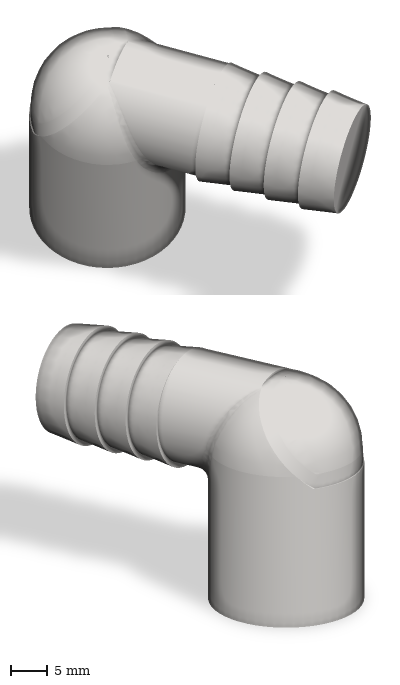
import cadquery as cq
import math

socket_diameter = 21.6
socket_radius = socket_diameter / 2
overall_height = 33.5
overall_length = 46.6

ball_center_z = 22.5

tube_diameter = 16.2
tube_axis_z = overall_height - tube_diameter / 2
corner_fillet = 2.0

barb_count = 4
barb_pitch = 5.0
barb_large_diameter = 17.0
barb_small_diameter = 15.6
barb_axis_z = overall_height - barb_large_diameter / 2
barb_end_x = overall_length - socket_radius
barb_start_x = barb_end_x - barb_count * barb_pitch

relief_depth = 0.2
relief_floor_radius = socket_radius - relief_depth
relief_tilt = math.radians(40)
rim_outer_offset = 5.2
rim_inner_offset = 6.6
rim_outer_radius = math.sqrt(socket_radius**2 - rim_outer_offset**2)
rim_inner_radius = math.sqrt(relief_floor_radius**2 - rim_inner_offset**2)
relief_ledge_z = 20.4
relief_front_x = 1.7


def tube():
    """Horizontal tube from the socket axis to the first barb."""
    return (
        cq.Workplane("YZ", origin=(0, 0, tube_axis_z))
        .circle(tube_diameter / 2)
        .extrude(barb_start_x)
    )


def domed_post(radius):
    """Vertical cylinder with a hemispherical top."""
    cylinder = cq.Workplane("XY").circle(radius).extrude(ball_center_z)
    ball = cq.Workplane("XY", origin=(0, 0, ball_center_z)).sphere(radius)
    return cylinder.union(ball)


def barb(start_x):
    """One cone-shaped barb, largest on the side toward the elbow."""
    return (
        cq.Workplane("YZ", origin=(start_x, 0, barb_axis_z))
        .circle(barb_large_diameter / 2)
        .workplane(offset=barb_pitch)
        .circle(barb_small_diameter / 2)
        .loft(ruled=True)
    )


def relief():
    """Cutter for the relief, bounded by its rim, its floor, the ledge and the tube end."""
    reach = 2 * socket_radius
    axis = cq.Vector(-math.cos(relief_tilt), 0, math.sin(relief_tilt))
    rim_center = cq.Vector(0, 0, ball_center_z) + axis * rim_outer_offset
    rim_plane = cq.Plane(origin=rim_center, xDir=(0, 1, 0), normal=axis)
    beyond_rim = cq.Workplane(rim_plane).rect(2 * reach, 2 * reach).extrude(reach)
    rim_cone = (
        cq.Workplane(rim_plane)
        .circle(rim_outer_radius)
        .workplane(offset=rim_inner_offset - rim_outer_offset)
        .circle(rim_inner_radius)
        .loft(ruled=True)
    )
    allowed_zone = (
        cq.Workplane("XY", origin=(relief_front_x, 0, relief_ledge_z))
        .box(reach, 2 * reach, reach, centered=(False, True, False))
        .translate((-reach, 0, 0))
    )
    return beyond_rim.intersect(allowed_zone).cut(rim_cone).cut(domed_post(relief_floor_radius))


def filleted_elbow():
    """Socket and tube, blended along the curves where the tube leaves the socket and ball."""
    elbow = domed_post(socket_radius).union(tube())
    junction = elbow.edges("%BSPLINE")
    return junction.fillet(corner_fillet)


result = filleted_elbow().cut(relief())
for index in range(barb_count):
    result = result.union(barb(barb_start_x + index * barb_pitch))